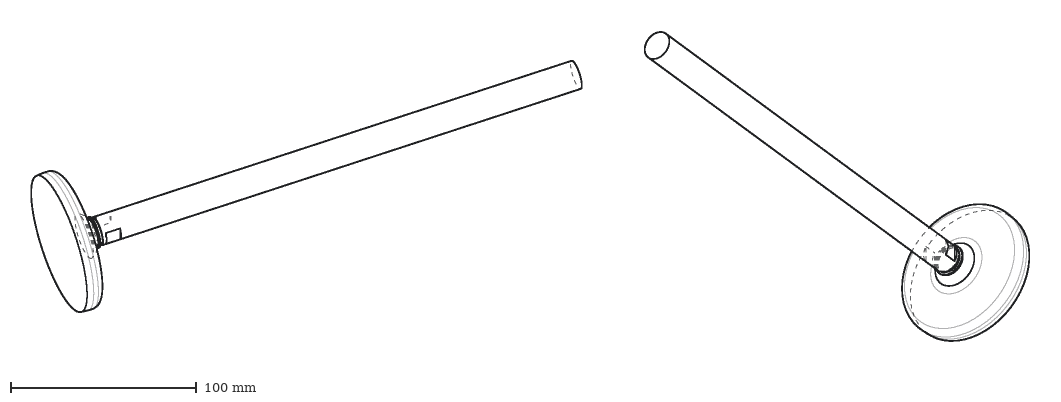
import cadquery as cq
import math

total_length = 302.0
foot_radius = 78.0 / 2
rod_radius = 16.0 / 2

pad_thickness = 3.5
pad_taper = 0.3
pad_radius = foot_radius - pad_taper
rim_top = 6.3
rim_corner_y = 9.7
cone_top_y = 13.3
cone_top_radius = 16.5

hub_base_y = 14.5
hub_base_radius = 12.7
hub_bend_y = 17.5
hub_bend_radius = 10.5
hub_top_y = 19.5
hub_top_radius = 7.5

flange_top_y = 20.5
flange_radius = 8.8
neck_radius = 7.2
rod_start_y = 22.3
flat_start_y = 24.5
flat_length = 8.5
flat_distance = 13.0


def make_foot():
    """Revolved foot with a rounded shoulder and a domed hub."""
    cone_angle = math.atan2(cone_top_y - rim_corner_y, foot_radius - cone_top_radius)
    shoulder_length = rim_corner_y - rim_top
    shoulder_end = (
        foot_radius - shoulder_length * math.cos(cone_angle),
        rim_corner_y + shoulder_length * math.sin(cone_angle),
    )
    return (
        cq.Workplane("XY")
        .moveTo(0, 0)
        .lineTo(pad_radius, 0)
        .lineTo(foot_radius, pad_thickness)
        .lineTo(foot_radius, rim_top)
        .tangentArcPoint(shoulder_end, relative=False)
        .lineTo(cone_top_radius, cone_top_y)
        .tangentArcPoint((hub_base_radius, hub_base_y), relative=False)
        .threePointArc((hub_bend_radius, hub_bend_y), (hub_top_radius, hub_top_y))
        .lineTo(0, hub_top_y)
        .close()
        .revolve(360, (0, 0, 0), (0, 1, 0))
    )


def make_rod():
    """Round rod with a flange, a short neck and two wrench flats."""
    rod = (
        cq.Workplane("XY")
        .moveTo(0, hub_top_y)
        .lineTo(flange_radius, hub_top_y)
        .lineTo(flange_radius, flange_top_y)
        .lineTo(neck_radius, flange_top_y)
        .lineTo(neck_radius, rod_start_y)
        .lineTo(rod_radius, rod_start_y)
        .lineTo(rod_radius, total_length)
        .lineTo(0, total_length)
        .close()
        .revolve(360, (0, 0, 0), (0, 1, 0))
    )
    flat_cutter = cq.Workplane("XY").box(
        rod_radius, flat_length, 2 * rod_radius, centered=(True, False, True)
    )
    for side in (-1, 1):
        cutter_x = side * (flat_distance + rod_radius) / 2
        rod = rod.cut(flat_cutter.translate((cutter_x, flat_start_y, 0)))
    return rod


foot = make_foot()
rod = make_rod()
result = cq.Compound.makeCompound([foot.val(), rod.val()])